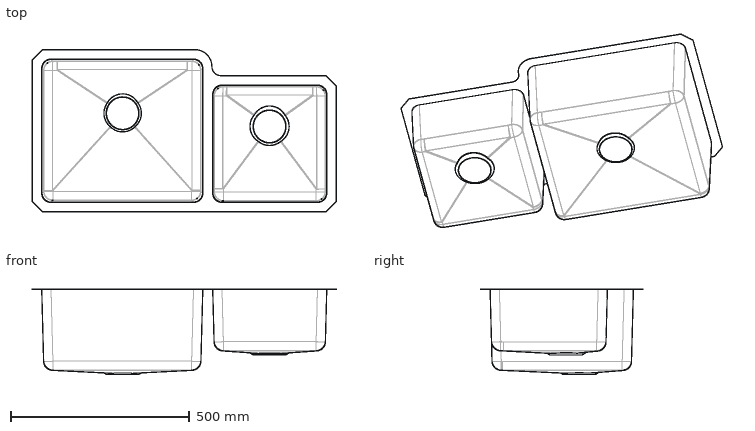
import cadquery as cq
import math

RIM_LENGTH = 854.0
RIM_DEPTH = 456.0
RIM_DEPTH_RIGHT = 383.0
RIM_CHAMFER = 29.0
RIM_WIDTH = 28.0
LARGE_OPENING_LENGTH = 450.0
DIVIDER_WIDTH = 30.0
STEP_X = 505.0
STEP_OUTER_RADIUS = 48.0
STEP_INNER_RADIUS = RIM_DEPTH - RIM_DEPTH_RIGHT - STEP_OUTER_RADIUS
SHEET = 1.5

WALL_DRAFT = math.radians(1.5)
BLEND_RADIUS = 25.0
DRAIN_HOLE_RADIUS = 45.0

CORE_OVERRUN = 2 * BLEND_RADIUS

LARGE_RIGHT = RIM_WIDTH + LARGE_OPENING_LENGTH
SMALL_LEFT = LARGE_RIGHT + DIVIDER_WIDTH

LARGE_BOWL = {
    "opening": (RIM_WIDTH, RIM_WIDTH, LARGE_RIGHT, RIM_DEPTH - RIM_WIDTH),
    "wall_depth": 226.0,
    "apex_depth": 237.0,
    "full_depth": 240.0,
    "drain": (254.0, 277.0),
    "dish_radius": 52.0,
    "dish_depth": 5.0,
}
SMALL_BOWL = {
    "opening": (SMALL_LEFT, RIM_WIDTH, RIM_LENGTH - RIM_WIDTH, RIM_DEPTH_RIGHT - RIM_WIDTH),
    "wall_depth": 171.0,
    "apex_depth": 182.0,
    "full_depth": 185.0,
    "drain": (666.5, 240.0),
    "dish_radius": 54.0,
    "dish_depth": 6.0,
}


def make_rim():
    """Flat rim sheet with chamfered outer corners and an S-shaped step at the back."""
    shoulder_x = STEP_X - STEP_OUTER_RADIUS
    shoulder_y = RIM_DEPTH - STEP_OUTER_RADIUS
    valley_x = STEP_X + STEP_INNER_RADIUS
    diagonal = math.sqrt(0.5)
    shoulder_mid = (shoulder_x + STEP_OUTER_RADIUS * diagonal, shoulder_y + STEP_OUTER_RADIUS * diagonal)
    valley_mid = (valley_x - STEP_INNER_RADIUS * diagonal, shoulder_y - STEP_INNER_RADIUS * diagonal)
    return (
        cq.Workplane("XY")
        .moveTo(RIM_CHAMFER, 0)
        .lineTo(RIM_LENGTH - RIM_CHAMFER, 0)
        .lineTo(RIM_LENGTH, RIM_CHAMFER)
        .lineTo(RIM_LENGTH, RIM_DEPTH_RIGHT - RIM_CHAMFER)
        .lineTo(RIM_LENGTH - RIM_CHAMFER, RIM_DEPTH_RIGHT)
        .lineTo(valley_x, RIM_DEPTH_RIGHT)
        .threePointArc(valley_mid, (STEP_X, shoulder_y))
        .threePointArc(shoulder_mid, (shoulder_x, RIM_DEPTH))
        .lineTo(RIM_CHAMFER, RIM_DEPTH)
        .lineTo(0, RIM_DEPTH - RIM_CHAMFER)
        .lineTo(0, RIM_CHAMFER)
        .close()
        .extrude(-SHEET)
    )


def rectangle_corners(opening, inset, z):
    """Corners of the bowl opening moved inwards by inset, at height z."""
    x0, y0, x1, y1 = opening
    return [
        cq.Vector(x0 + inset, y0 + inset, z),
        cq.Vector(x1 - inset, y0 + inset, z),
        cq.Vector(x1 - inset, y1 - inset, z),
        cq.Vector(x0 + inset, y1 - inset, z),
    ]


def make_polyhedron(polygons):
    """Solid bounded by the given flat polygons."""
    faces = [cq.Face.makeFromWires(cq.Wire.makePolygon(polygon, close=True)) for polygon in polygons]
    return cq.Workplane(cq.Solid.makeSolid(cq.Shell.makeShell(faces)))


def make_core(bowl):
    """Sharp-edged bowl shape lying one blend radius inside the bowl's inner surface."""
    opening = bowl["opening"]
    slope = math.tan(WALL_DRAFT)
    wall_inset = BLEND_RADIUS / math.cos(WALL_DRAFT)

    top = rectangle_corners(opening, wall_inset - CORE_OVERRUN * slope, CORE_OVERRUN)
    bottom = rectangle_corners(opening, wall_inset + bowl["full_depth"] * slope, -bowl["full_depth"])
    wall_sides = [[top[i - 1], top[i], bottom[i], bottom[i - 1]] for i in range(len(top))]
    walls = make_polyhedron([top, bottom] + wall_sides)

    apex = cq.Vector(*bowl["drain"], BLEND_RADIUS - bowl["apex_depth"])
    floor_z = BLEND_RADIUS - bowl["wall_depth"]
    floor = rectangle_corners(opening, bowl["wall_depth"] * slope, floor_z)
    enlargement = (2 * CORE_OVERRUN - apex.z) / (floor_z - apex.z)
    base = [apex + (corner - apex) * enlargement for corner in floor]
    pyramid_sides = [[base[i - 1], base[i], apex] for i in range(len(base))]
    return walls.intersect(make_polyhedron([base] + pyramid_sides))


def make_rounded_bowl(core, offset):
    """Core grown by offset with every edge rounded to that radius."""
    grown = core.shell(offset, kind="arc")
    return cq.Workplane(cq.Solid.makeSolid(grown.solids().val().outerShell()))


def make_drain_cone(bowl, growth):
    """Conical drain dish from the bowl floor down to the drain hole, grown outwards by growth."""
    height = bowl["full_depth"] - bowl["wall_depth"]
    widening = (bowl["dish_radius"] - DRAIN_HOLE_RADIUS) / bowl["dish_depth"]
    bottom_radius = DRAIN_HOLE_RADIUS + growth
    cone = cq.Solid.makeCone(
        bottom_radius,
        bottom_radius + height * widening,
        height,
        cq.Vector(*bowl["drain"], -bowl["full_depth"]),
    )
    return cq.Workplane(cone)


def make_sink():
    """Rim sheet with both bowls hanging below it."""
    sink = make_rim()
    headroom_height = CORE_OVERRUN + 2 * (BLEND_RADIUS + SHEET)
    headroom = cq.Workplane("XY").box(RIM_LENGTH, RIM_DEPTH, headroom_height, centered=False)
    for bowl in (LARGE_BOWL, SMALL_BOWL):
        core = make_core(bowl)
        outside = make_rounded_bowl(core, BLEND_RADIUS + SHEET).cut(headroom)
        inside = make_rounded_bowl(core, BLEND_RADIUS)
        sink = sink.union(outside).union(make_drain_cone(bowl, SHEET))
        sink = sink.cut(inside).cut(make_drain_cone(bowl, 0))
    return sink.solids()


result = make_sink()